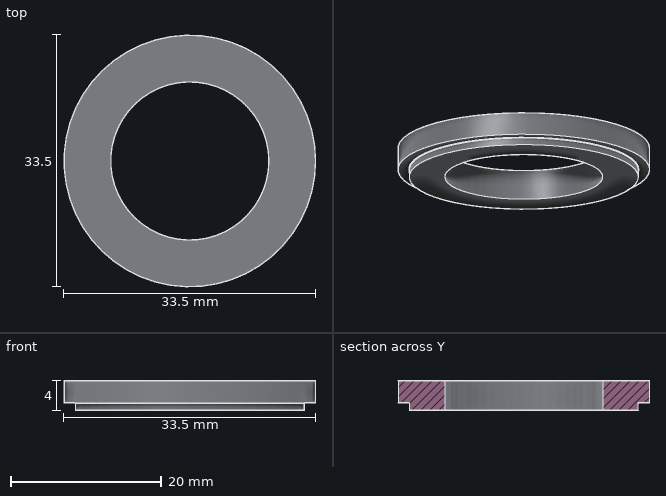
import cadquery as cq

flange_diameter = 33.5
spigot_diameter = 30.5
bore_diameter = 21.0
total_height = 4.0
spigot_height = 1.0
corner_flare = 0.085

flange_radius = flange_diameter / 2
spigot_radius = spigot_diameter / 2
bore_radius = bore_diameter / 2

half_section = [
    (bore_radius, 0),
    (spigot_radius, 0),
    (spigot_radius, spigot_height - corner_flare),
    (spigot_radius + corner_flare, spigot_height),
    (flange_radius, spigot_height),
    (flange_radius, total_height),
    (bore_radius, total_height),
]

result = (
    cq.Workplane("XZ")
    .polyline(half_section)
    .close()
    .revolve(360, (0, 0, 0), (0, 1, 0))
)